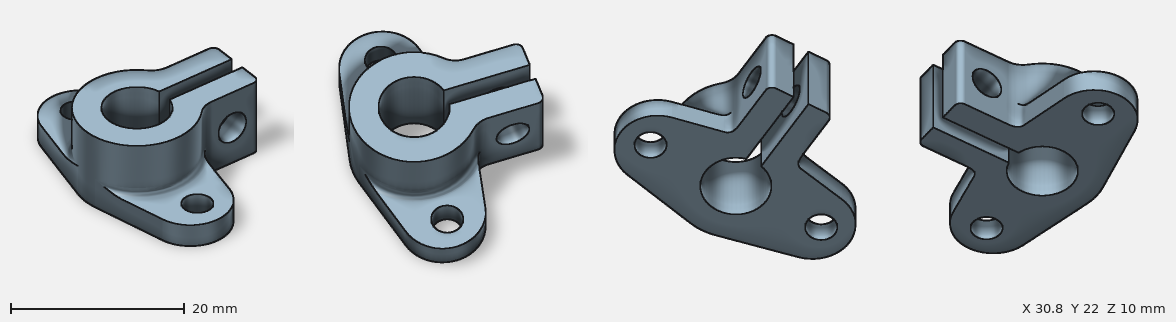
import cadquery as cq
import math

body_height = 10.0
body_radius = 7.5
bore_radius = 4.1

arm_half_width = 4.25
arm_end_y = 14.5
arm_blend_radius = 3.0
arm_corner_radius = 0.85
slot_width = 2.0
screw_hole_radius = 2.0
screw_hole_y = 10.58

flange_thickness = 3.0
flange_length = 30.83
ear_radius = 5.0
ear_center_y = -0.2
upper_edge_angle = math.radians(12)
ear_center_x = flange_length / 2 - ear_radius
mount_hole_radius = 1.85
mount_hole_x = 11.5
junction_fillet_radius = 1.0


def make_clamp_body():
    """Ring and arm bar in one outline with concave blends and rounded arm corners."""
    blend_center_x = arm_half_width + arm_blend_radius
    center_distance = body_radius + arm_blend_radius
    blend_center_y = math.sqrt(center_distance**2 - blend_center_x**2)
    ring_share = body_radius / center_distance
    ring_x = blend_center_x * ring_share
    ring_y = blend_center_y * ring_share
    start_angle = math.pi
    end_angle = math.pi + math.atan2(blend_center_y, blend_center_x)
    mid_angle = (start_angle + end_angle) / 2
    blend_mid_x = blend_center_x + arm_blend_radius * math.cos(mid_angle)
    blend_mid_y = blend_center_y + arm_blend_radius * math.sin(mid_angle)

    body = (
        cq.Workplane("XY")
        .moveTo(-arm_half_width, arm_end_y)
        .lineTo(arm_half_width, arm_end_y)
        .lineTo(arm_half_width, blend_center_y)
        .threePointArc((blend_mid_x, blend_mid_y), (ring_x, ring_y))
        .threePointArc((0, -body_radius), (-ring_x, ring_y))
        .threePointArc((-blend_mid_x, blend_mid_y), (-arm_half_width, blend_center_y))
        .close()
        .extrude(body_height)
    )
    return body.edges("|Z and >Y").fillet(arm_corner_radius)


def make_flange_prism():
    """Full-height flange outline: two rounded ears joined by straight edges tangent to them."""
    center_distance = math.hypot(ear_center_x, ear_center_y)
    lower_edge_angle = math.asin((body_radius - ear_radius) / center_distance)
    lower_edge_angle += math.atan2(ear_center_y, ear_center_x)
    ear_low_x = ear_center_x + ear_radius * math.sin(lower_edge_angle)
    ear_low_y = ear_center_y - ear_radius * math.cos(lower_edge_angle)
    ring_x = body_radius * math.sin(lower_edge_angle)
    ring_y = -body_radius * math.cos(lower_edge_angle)

    ear_high_x = ear_center_x + ear_radius * math.sin(upper_edge_angle)
    ear_high_y = ear_center_y + ear_radius * math.cos(upper_edge_angle)
    peak_y = ear_high_y + ear_high_x * math.tan(upper_edge_angle)
    ear_tip_x = ear_center_x + ear_radius

    return (
        cq.Workplane("XY")
        .moveTo(-ring_x, ring_y)
        .threePointArc((0, -body_radius), (ring_x, ring_y))
        .lineTo(ear_low_x, ear_low_y)
        .threePointArc((ear_tip_x, ear_center_y), (ear_high_x, ear_high_y))
        .lineTo(0, peak_y)
        .lineTo(-ear_high_x, ear_high_y)
        .threePointArc((-ear_tip_x, ear_center_y), (-ear_low_x, ear_low_y))
        .close()
        .extrude(body_height)
    )


def is_concave_corner(edge):
    """True for the two upright edges where the flange meets the arm blends."""
    center = edge.Center()
    return arm_half_width < abs(center.x) < body_radius and 0 < center.y < body_radius


def make_footprint(body):
    """Full-height outline of body and flange, rounded where the flange meets the arm blends."""
    footprint = body.union(make_flange_prism())
    corners = footprint.edges("|Z").filter(is_concave_corner)
    return corners.fillet(junction_fillet_radius)


def is_foot_edge(edge):
    """True for edges lying in the flange's top plane and within the reach of the flange."""
    box = edge.BoundingBox()
    is_level = box.zmin > flange_thickness / 2 and box.zmax < (flange_thickness + body_height) / 2
    return is_level and max(abs(box.xmin), abs(box.xmax), abs(box.ymin), abs(box.ymax)) < flange_length / 2


def make_filleted_base(body):
    """Body standing on an oversized plate, with a fillet all round its foot."""
    plate_size = 2 * flange_length
    plate = cq.Workplane("XY").rect(plate_size, plate_size).extrude(flange_thickness)
    return plate.union(body).edges().filter(is_foot_edge).fillet(junction_fillet_radius)


def make_bore_and_slot():
    """Shaft bore with the clamping slot running from it out through the arm ends."""
    bore = cq.Workplane("XY").circle(bore_radius).extrude(body_height)
    slot = cq.Workplane("XY").box(slot_width, arm_end_y, body_height, centered=(True, False, False))
    return bore.union(slot)


def make_mount_holes():
    """One hole through each flange ear."""
    return (
        cq.Workplane("XY")
        .pushPoints([(-mount_hole_x, 0), (mount_hole_x, 0)])
        .circle(mount_hole_radius)
        .extrude(flange_thickness)
    )


def make_screw_hole():
    """Clamp screw hole along X through both arms, at mid height."""
    return (
        cq.Workplane("YZ")
        .center(screw_hole_y, body_height / 2)
        .circle(screw_hole_radius)
        .extrude(arm_half_width, both=True)
    )


clamp_body = make_clamp_body()
result = (
    make_filleted_base(clamp_body)
    .intersect(make_footprint(clamp_body))
    .cut(make_bore_and_slot())
    .cut(make_mount_holes())
    .cut(make_screw_hole())
)